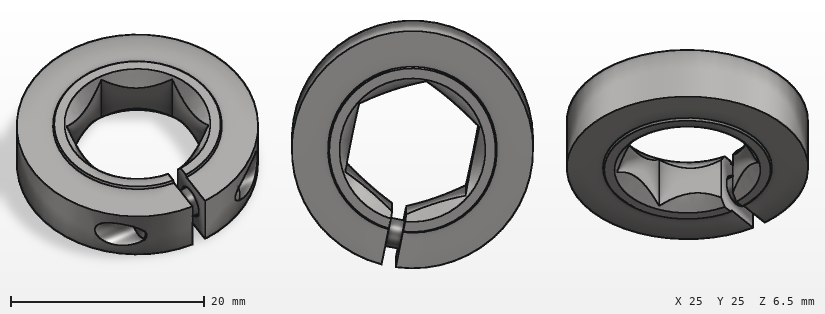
import cadquery as cq
import math

COLLAR_DIAMETER = 25.0
COLLAR_WIDTH = 6.0
TOTAL_WIDTH = 6.5
BOSS_DIAMETER = 17.5
BOSS_SIDE_ANGLE = 30.0
HEX_ACROSS_FLATS = 12.7
LEAD_IN_DIAMETER = 15.1
LEAD_IN_ANGLE = 36.0
SLOT_WIDTH = 1.5

SCREW_X = 9.52
SHANK_DIAMETER = 3.0
HEAD_DIAMETER = 3.9
CLEARANCE_DIAMETER = 3.4
SHANK_END_Y = -5.55
HEAD_SEAT_Y = 2.5
HEAD_TOP_Y = 5.55

half_collar = COLLAR_WIDTH / 2
half_total = TOTAL_WIDTH / 2
hex_across_corners = HEX_ACROSS_FLATS / math.cos(math.radians(30))


def rod_along_y(diameter, y_start, y_end):
    """Cylinder on the screw axis between two Y positions."""
    return (
        cq.Workplane("XZ", origin=(SCREW_X, y_start, 0))
        .circle(diameter / 2)
        .extrude(-(y_end - y_start))
    )


def make_ring():
    """Collar with a tapered boss on each face, revolved about Z."""
    boss_radius = BOSS_DIAMETER / 2
    boss_height = half_total - half_collar
    boss_top_radius = boss_radius - boss_height * math.tan(math.radians(BOSS_SIDE_ANGLE))
    upper_half = (
        cq.Workplane("XZ")
        .lineTo(COLLAR_DIAMETER / 2, 0)
        .lineTo(COLLAR_DIAMETER / 2, half_collar)
        .lineTo(boss_radius, half_collar)
        .lineTo(boss_top_radius, half_total)
        .lineTo(0, half_total)
        .close()
        .revolve(360, (0, 0, 0), (0, 1, 0))
    )
    return upper_half.union(upper_half.mirror("XY"))


def make_bore():
    """Hexagon through the collar, with a conical lead-in at each end."""
    hexagon = (
        cq.Workplane("XY", origin=(0, 0, -half_total))
        .polygon(6, hex_across_corners)
        .extrude(TOTAL_WIDTH)
    )
    mouth_radius = LEAD_IN_DIAMETER / 2
    radius_at_middle = mouth_radius - half_total * math.tan(math.radians(LEAD_IN_ANGLE))
    upper_cone = (
        cq.Workplane("XZ")
        .lineTo(radius_at_middle, 0)
        .lineTo(mouth_radius, half_total)
        .lineTo(0, half_total)
        .close()
        .revolve(360, (0, 0, 0), (0, 1, 0))
    )
    return hexagon.union(upper_cone).union(upper_cone.mirror("XY"))


def make_slot():
    """Split from the bore out through the +X side."""
    return cq.Workplane("XY").box(
        COLLAR_DIAMETER, SLOT_WIDTH, TOTAL_WIDTH, centered=(False, True, True)
    )


def make_screw_hole():
    """Clearance hole through both jaws, with a head counterbore open to +Y."""
    clearance = rod_along_y(CLEARANCE_DIAMETER, -COLLAR_DIAMETER / 2, HEAD_SEAT_Y)
    counterbore = rod_along_y(HEAD_DIAMETER, HEAD_SEAT_Y, COLLAR_DIAMETER / 2)
    return clearance.union(counterbore)


def make_collar():
    return make_ring().cut(make_bore()).cut(make_slot()).cut(make_screw_hole())


def make_screw():
    shank = rod_along_y(SHANK_DIAMETER, SHANK_END_Y, HEAD_SEAT_Y)
    head = rod_along_y(HEAD_DIAMETER, HEAD_SEAT_Y, HEAD_TOP_Y)
    return shank.union(head)


collar = make_collar()
screw = make_screw()

result = cq.Compound.makeCompound([collar.val(), screw.val()])